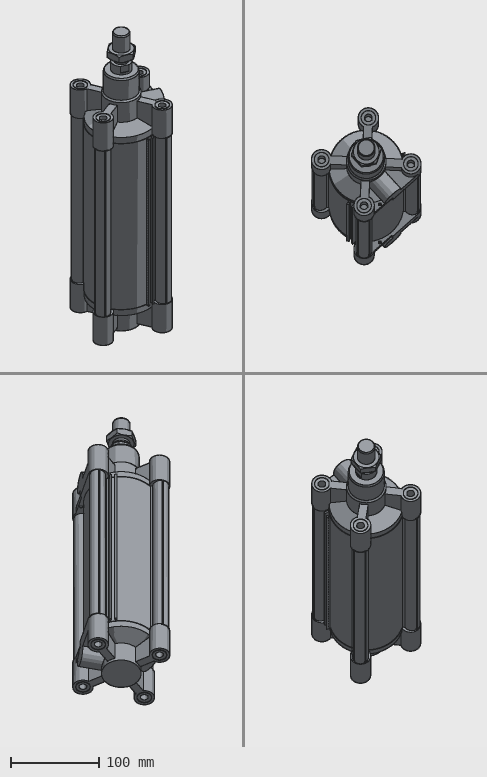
import cadquery as cq
import math


total_height = 393.5
boss_height = 38.5
collar_rise = 4.0
tube_bottom = boss_height + collar_rise
tube_length = 226.3
tube_top = tube_bottom + tube_length

tube_diameter = 85.5
bore_diameter = 80.0
lobe_diameter = 18.5
lobe_offset = 37.0
web_width = 11.5
groove_width = 1.5
groove_depth = 1.5

lip_root_x = 35.5
hook_root = (40.5, 15.0)
hook_corner = (44.5, 16.0)
hook_tip_x = (42.0, 43.0)
hook_tip_y = 18.5
hook_inside = (41.5, 16.5)
upper_lip_y = (21.5, 23.5)
upper_lip_x = 42.0

overall_width = 95.0
cover_diameter = 84.2
cover_ring_height = 8.3
cone_height = 7.5
collar_diameter = 45.0
boss_diameter = 23.2
boss_offset = (overall_width - boss_diameter) / 2
screw_recess_diameter = 16.5
screw_recess_depth = 0.8
screw_hole_diameter = 8.5
screw_hole_depth = 15.7
rib_width = 10.0
port_diameter = 25.0
port_x = 2.5
port_height = 22.5
port_end_y = overall_width / 2
block_height = 19.0
flange_end_y = 45.5
flange_hole_diameter = 3.0
flange_hole_place = (17.7, 42.5)

bushing_diameter = 41.0
bushing_taper_height = 2.0
bushing_height = 31.0
bushing_chamfer_height = 2.5
bushing_chamfer_width = 1.0

rod_diameter = 24.5
rod_shoulder_z = 353.8
flats_width = 22.0
flats_bottom_z = 345.0
relief_diameter = 16.5
relief_top_z = 356.5
thread_diameter = 20.0
thread_end_diameter = 18.0
thread_start_z = 357.5
tip_chamfer_height = 2.0

nut_bottom_z = 361.0
nut_height = 10.0
nut_across_flats = 30.0
nut_chamfer_height = 1.38
nut_face_diameter = 29.0

CORNERS = [(x, y) for x in (-1, 1) for y in (-1, 1)]


def at_corners(offset):
    return [(x * offset, y * offset) for x, y in CORNERS]


def diagonal_bars(length, width, height):
    """Two crossed bars along the diagonals, standing on the XY plane."""
    bars = cq.Workplane("XY")
    for angle in (45, 135):
        bar = cq.Workplane("XY").box(length, width, height, centered=(True, True, False))
        bars = bars.add(bar.rotate((0, 0, 0), (0, 0, 1), angle))
    return bars.combine()


def revolved(points):
    """Solid of revolution about Z from (radius, height) points."""
    return cq.Workplane("XZ").polyline(points).close().revolve(360, (0, 0), (0, 1))


def sensor_lips():
    """Hooked lower lip and plain upper lip of the sensor slot on the +X side."""
    hook = [
        (lip_root_x, hook_root[1]),
        hook_root,
        hook_corner,
        (hook_tip_x[1], hook_tip_y),
        (hook_tip_x[0], hook_tip_y),
        hook_inside,
        (lip_root_x, hook_inside[1]),
    ]
    upper = [
        (lip_root_x, upper_lip_y[0]),
        (upper_lip_x, upper_lip_y[0]),
        (upper_lip_x, upper_lip_y[1]),
        (lip_root_x, upper_lip_y[1]),
    ]
    lips = cq.Workplane("XY").polyline(hook).close().extrude(tube_length)
    return lips.union(cq.Workplane("XY").polyline(upper).close().extrude(tube_length))


def make_tube():
    """Profile tube with four corner lobes, sensor slots and a plain bore."""
    tube = cq.Workplane("XY").circle(tube_diameter / 2).extrude(tube_length)
    lobes = cq.Workplane("XY").pushPoints(at_corners(lobe_offset))
    tube = tube.union(lobes.circle(lobe_diameter / 2).extrude(tube_length))
    web_span = 2 * math.sqrt(2) * lobe_offset
    tube = tube.union(diagonal_bars(web_span, web_width, tube_length))
    lips = sensor_lips()
    tube = tube.union(lips).union(lips.mirror("YZ"))

    groove_centre = lobe_offset + lobe_diameter / 2
    for x, y in CORNERS:
        grooves = cq.Workplane("XY").pushPoints([(x * groove_centre, y * lobe_offset)])
        tube = tube.cut(grooves.rect(2 * groove_depth, groove_width).extrude(tube_length))
        grooves = cq.Workplane("XY").pushPoints([(x * lobe_offset, y * groove_centre)])
        tube = tube.cut(grooves.rect(groove_width, 2 * groove_depth).extrude(tube_length))

    tube = tube.cut(cq.Workplane("XY").circle(bore_diameter / 2).extrude(tube_length))
    return tube.translate((0, 0, tube_bottom))


def slab(x_min, x_max, y_max, height):
    """Block from the X axis out to y_max, standing on the XY plane."""
    base = cq.Workplane("XY").center((x_min + x_max) / 2, y_max / 2)
    return base.rect(x_max - x_min, y_max).extrude(height)


def rear_quarter():
    """Wedge between the two diagonals on the +Y side."""
    reach = overall_width
    outline = [(0, 0), (reach, reach), (-reach, reach)]
    return cq.Workplane("XY").polyline(outline).close().extrude(boss_height)


def make_cover():
    """Cover with its tube face on the XY plane and its collar pointing up."""
    collar_top = boss_height + collar_rise
    cone_top = cover_ring_height + cone_height
    cover = revolved([
        (0, 0),
        (cover_diameter / 2, 0),
        (cover_diameter / 2, cover_ring_height),
        (collar_diameter / 2, cone_top),
        (collar_diameter / 2, collar_top),
        (0, collar_top),
    ])
    cover = cover.union(diagonal_bars(2 * math.sqrt(2) * boss_offset, rib_width, boss_height))

    block = slab(-boss_offset, port_x, port_end_y, block_height)
    flange = slab(port_x, boss_offset, flange_end_y, cover_ring_height)
    cover = cover.union(block.intersect(rear_quarter()))
    cover = cover.union(flange.intersect(rear_quarter()))
    flange_hole = cq.Workplane("XY").center(*flange_hole_place).circle(flange_hole_diameter / 2)
    cover = cover.cut(flange_hole.extrude(cover_ring_height))
    port = cq.Workplane("XZ").center(port_x, port_height).circle(port_diameter / 2)
    cover = cover.union(port.extrude(-port_end_y))

    bosses = cq.Workplane("XY").pushPoints(at_corners(boss_offset))
    cover = cover.union(bosses.circle(boss_diameter / 2).extrude(boss_height))
    screws = cq.Workplane("XY").workplane(offset=boss_height).pushPoints(at_corners(boss_offset))
    cover = cover.cut(screws.circle(screw_recess_diameter / 2).extrude(-screw_recess_depth))
    return cover.cut(screws.circle(screw_hole_diameter / 2).extrude(-screw_hole_depth))


def make_front_cover():
    """Upper cover with the rod bushing and a through hole for the rod."""
    cover = make_cover().translate((0, 0, tube_top))
    collar_top = tube_top + boss_height + collar_rise
    bushing_top = collar_top + bushing_height
    bushing_radius = bushing_diameter / 2
    bushing = revolved([
        (0, collar_top),
        (collar_diameter / 2, collar_top),
        (bushing_radius, collar_top + bushing_taper_height),
        (bushing_radius, bushing_top - bushing_chamfer_height),
        (bushing_radius - bushing_chamfer_width, bushing_top),
        (0, bushing_top),
    ])
    rod_hole = cq.Workplane("XY").workplane(offset=tube_top).circle(rod_diameter / 2)
    return cover.union(bushing).cut(rod_hole.extrude(bushing_top - tube_top))


def make_end_cover():
    """Lower cover, the same shape upside down."""
    return make_cover().mirror("XY").translate((0, 0, tube_bottom))


def make_rod():
    """Piston rod with wrench flats, thread relief and a chamfered thread."""
    rod = revolved([
        (0, tube_top),
        (rod_diameter / 2, tube_top),
        (rod_diameter / 2, rod_shoulder_z),
        (relief_diameter / 2, rod_shoulder_z),
        (relief_diameter / 2, relief_top_z),
        (thread_end_diameter / 2, relief_top_z),
        (thread_diameter / 2, thread_start_z),
        (thread_diameter / 2, total_height - tip_chamfer_height),
        (thread_end_diameter / 2, total_height),
        (0, total_height),
    ])
    flats_height = rod_shoulder_z - flats_bottom_z
    flats = cq.Workplane("XY").workplane(offset=flats_bottom_z)
    flats = flats.rect(2 * rod_diameter, 2 * rod_diameter).rect(flats_width, 2 * rod_diameter)
    return rod.cut(flats.extrude(flats_height))


def make_nut():
    """Hex nut with corners on the Y axis and both faces chamfered."""
    corner_diameter = nut_across_flats / math.cos(math.pi / 6)
    nut = cq.Workplane("XY").polygon(6, corner_diameter).extrude(nut_height)
    nut = nut.rotate((0, 0, 0), (0, 0, 1), 30)
    envelope = revolved([
        (0, 0),
        (nut_face_diameter / 2, 0),
        (corner_diameter / 2, nut_chamfer_height),
        (corner_diameter / 2, nut_height - nut_chamfer_height),
        (nut_face_diameter / 2, nut_height),
        (0, nut_height),
    ])
    bore = cq.Workplane("XY").circle(thread_diameter / 2).extrude(nut_height)
    return nut.intersect(envelope).cut(bore).translate((0, 0, nut_bottom_z))


tube = make_tube()
front_cover = make_front_cover()
end_cover = make_end_cover()
rod = make_rod()
nut = make_nut()

result = cq.Compound.makeCompound([
    tube.val(),
    front_cover.val(),
    end_cover.val(),
    rod.val(),
    nut.val(),
])